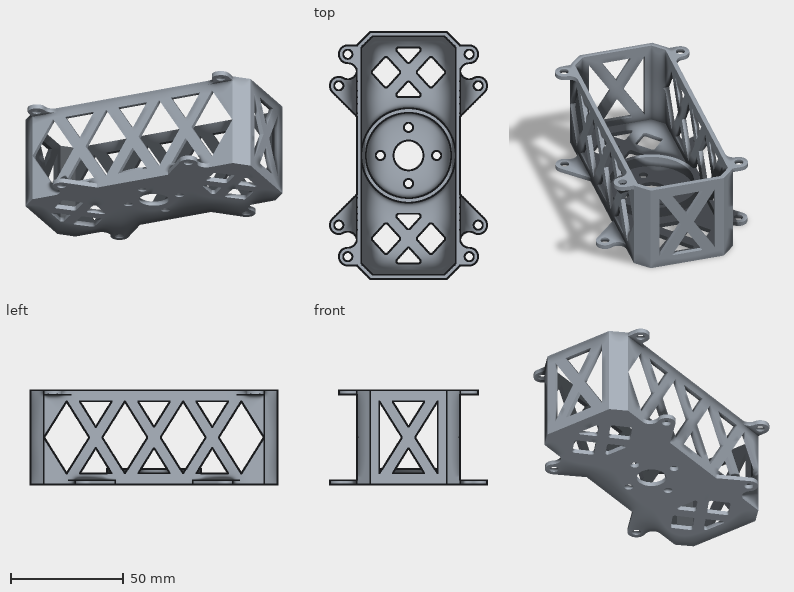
import cadquery as cq
import math

BOX_X = 46.0
BOX_Y = 110.0
BOX_Z = 42.0
CORNER_CHAMFER = 6.0
CAVITY_CHAMFER = 5.0
WALL = 2.0
FLOOR = 2.0

STRUT_WIDTH = 5.0
WINDOW_MARGIN = 5.0
SIDE_DIAMONDS = 4
DIAMOND_HALF_X = 10.0
DIAMOND_HALF_Z = BOX_Z / 2 - WINDOW_MARGIN
WALL_SLOPE = DIAMOND_HALF_Z / DIAMOND_HALF_X
WALL_STRUT_SPAN = STRUT_WIDTH / math.sin(math.atan(WALL_SLOPE))
WALL_PITCH = 2 * DIAMOND_HALF_X + WALL_STRUT_SPAN
WALL_TRIANGLE_HALF = WALL_PITCH / 2 - WALL_STRUT_SPAN
WALL_TRIANGLE_HEIGHT = WALL_TRIANGLE_HALF * WALL_SLOPE

FLOOR_CROSS_Y = 37.0
FLOOR_CROSS_HALF_X = 10.0
FLOOR_CROSS_HALF_Y = 11.0
FLOOR_SLOPE = FLOOR_CROSS_HALF_Y / FLOOR_CROSS_HALF_X
FLOOR_STRUT_SPAN = STRUT_WIDTH / math.sin(math.atan(FLOOR_SLOPE))
FLOOR_OPENING_FILLET = 1.0

RING_OUTER_D = 42.0
RING_INNER_D = 38.0
RING_TOP = 7.0
SHAFT_HOLE_D = 13.2
MOTOR_HOLE_RADIUS = 12.5
MOTOR_HOLES = 4

SCREW_D = 4.0
TAB_R = 4.0
TAB_THICKNESS = 2.0
WALL_FACE = BOX_X / 2
TAB_ROOT = WALL_FACE - WALL / 2
TOP_TAB_X = WALL_FACE + TAB_R
TOP_TAB_Y = 45.0
BOTTOM_TAB_X = 31.0
BOTTOM_TAB_Y = 31.0

DIAG = math.sqrt(0.5)


def chamfered_block(size_x, size_y, bottom, top, chamfer):
    block = cq.Workplane("XY", origin=(0, 0, bottom)).rect(size_x, size_y).extrude(top - bottom)
    return block.edges("|Z").chamfer(chamfer)


def make_tray():
    outer = chamfered_block(BOX_X, BOX_Y, 0, BOX_Z, CORNER_CHAMFER)
    cavity = chamfered_block(BOX_X - 2 * WALL, BOX_Y - 2 * WALL, FLOOR, BOX_Z, CAVITY_CHAMFER)
    return outer.cut(cavity)


def prism(plane, points, depth, both=False):
    return plane.polyline(points).close().extrude(depth, both=both)


def wall_triangle(center, direction):
    """Triangle based on the upper (+1) or lower (-1) window edge, pointing to mid-height."""
    base = direction * DIAMOND_HALF_Z
    tip = direction * (DIAMOND_HALF_Z - WALL_TRIANGLE_HEIGHT)
    return [(center - WALL_TRIANGLE_HALF, base), (center + WALL_TRIANGLE_HALF, base), (center, tip)]


def side_windows():
    """Diamonds with triangles between them, cut through both long walls."""
    plane = cq.Workplane("YZ", origin=(0, 0, BOX_Z / 2))
    outlines = []
    for i in range(SIDE_DIAMONDS):
        y = (i - (SIDE_DIAMONDS - 1) / 2) * WALL_PITCH
        outlines.append([
            (y - DIAMOND_HALF_X, 0),
            (y, DIAMOND_HALF_Z),
            (y + DIAMOND_HALF_X, 0),
            (y, -DIAMOND_HALF_Z),
        ])
    for i in range(SIDE_DIAMONDS - 1):
        y = (i - (SIDE_DIAMONDS - 2) / 2) * WALL_PITCH
        outlines += [wall_triangle(y, 1), wall_triangle(y, -1)]
    return [prism(plane, outline, BOX_X, both=True) for outline in outlines]


def end_windows():
    """A single cross: two triangles and two half diamonds, cut through both end walls."""
    plane = cq.Workplane("XZ", origin=(0, 0, BOX_Z / 2))
    outlines = [wall_triangle(0, 1), wall_triangle(0, -1)]
    for side in (-1, 1):
        edge = side * WALL_PITCH / 2
        tip = side * WALL_STRUT_SPAN / 2
        outlines.append([(edge, DIAMOND_HALF_Z), (edge, -DIAMOND_HALF_Z), (tip, 0)])
    return [prism(plane, outline, BOX_Y, both=True) for outline in outlines]


def floor_openings(center_y):
    """Two diamonds and two triangles left open around a cross of struts."""
    plane = cq.Workplane("XY", origin=(0, center_y, 0))
    half_x = FLOOR_CROSS_HALF_X - FLOOR_STRUT_SPAN / 2
    half_y = half_x * FLOOR_SLOPE
    tip = FLOOR_CROSS_HALF_Y - half_y
    openings = []
    for side in (-1, 1):
        x = side * FLOOR_CROSS_HALF_X
        diamond = prism(plane, [(x - half_x, 0), (x, half_y), (x + half_x, 0), (x, -half_y)], FLOOR)
        openings.append(diamond.edges("|Z").fillet(FLOOR_OPENING_FILLET))

        base = side * FLOOR_CROSS_HALF_Y
        triangle = prism(plane, [(-half_x, base), (half_x, base), (0, side * tip)], FLOOR)
        rounded_edges = triangle.edges("|Z")
        if side < 0 and center_y < 0:
            rounded_edges = rounded_edges.edges("<X or >X")
        openings.append(rounded_edges.fillet(FLOOR_OPENING_FILLET))
    return openings


def top_tab():
    """Tab flush with the rim, its inner side blending into the wall by a concave quarter arc."""
    arc_y = TOP_TAB_Y - 2 * TAB_R
    return (
        cq.Workplane("XY", origin=(0, 0, BOX_Z - TAB_THICKNESS))
        .moveTo(TAB_ROOT, TOP_TAB_Y + TAB_R)
        .lineTo(TOP_TAB_X, TOP_TAB_Y + TAB_R)
        .threePointArc((TOP_TAB_X + TAB_R, TOP_TAB_Y), (TOP_TAB_X, TOP_TAB_Y - TAB_R))
        .threePointArc((TOP_TAB_X - TAB_R * DIAG, arc_y + TAB_R * DIAG), (TOP_TAB_X - TAB_R, arc_y))
        .lineTo(TAB_ROOT, arc_y)
        .close()
        .extrude(TAB_THICKNESS)
        .cut(screw_hole(TOP_TAB_X, TOP_TAB_Y))
    )


def bottom_tab():
    """Tab flush with the underside: a concave arc on one side, a 45 degree edge on the other."""
    arc_x = WALL_FACE + TAB_R
    arc_y = BOTTOM_TAB_Y + math.sqrt((2 * TAB_R) ** 2 - (BOTTOM_TAB_X - arc_x) ** 2)
    blend_point = ((arc_x + BOTTOM_TAB_X) / 2, (arc_y + BOTTOM_TAB_Y) / 2)
    edge_x = BOTTOM_TAB_X + TAB_R * DIAG
    edge_y = BOTTOM_TAB_Y - TAB_R * DIAG
    return (
        cq.Workplane("XY")
        .moveTo(TAB_ROOT, arc_y)
        .lineTo(WALL_FACE, arc_y)
        .threePointArc((arc_x - TAB_R * DIAG, arc_y - TAB_R * DIAG), blend_point)
        .threePointArc((BOTTOM_TAB_X + TAB_R * DIAG, BOTTOM_TAB_Y + TAB_R * DIAG), (edge_x, edge_y))
        .lineTo(TAB_ROOT, edge_y - (edge_x - TAB_ROOT))
        .close()
        .extrude(TAB_THICKNESS)
        .cut(screw_hole(BOTTOM_TAB_X, BOTTOM_TAB_Y))
    )


def screw_hole(x, y):
    return cq.Workplane("XY").center(x, y).circle(SCREW_D / 2).extrude(BOX_Z)


def four_corners(shape):
    """The shape and its mirror images in the XZ and YZ planes."""
    pair = [shape, shape.mirror("YZ")]
    return pair + [item.mirror("XZ") for item in pair]


def motor_ring():
    return (
        cq.Workplane("XY")
        .circle(RING_OUTER_D / 2)
        .circle(RING_INNER_D / 2)
        .extrude(RING_TOP)
    )


def motor_holes():
    shaft = cq.Workplane("XY").circle(SHAFT_HOLE_D / 2).extrude(FLOOR)
    screws = (
        cq.Workplane("XY")
        .polarArray(MOTOR_HOLE_RADIUS, 0, 360, MOTOR_HOLES)
        .circle(SCREW_D / 2)
        .extrude(FLOOR)
    )
    return shaft.union(screws)


result = make_tray()
for window in side_windows() + end_windows():
    result = result.cut(window)
for cross_y in (-FLOOR_CROSS_Y, FLOOR_CROSS_Y):
    for opening in floor_openings(cross_y):
        result = result.cut(opening)
result = result.union(motor_ring()).cut(motor_holes())
for tab in four_corners(top_tab()) + four_corners(bottom_tab()):
    result = result.union(tab)